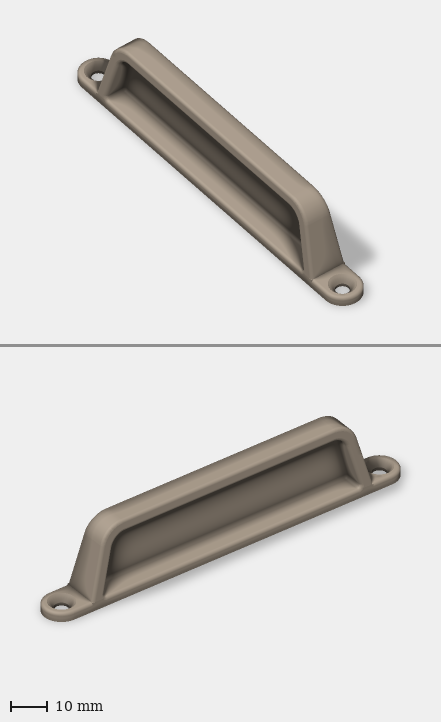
import cadquery as cq
import math

length = 119.6
width = 11.6
height = 24.5

flange_thickness = 2.9
hole_diameter = 4.2
countersink_diameter = 8.0
countersink_angle = 90.0

grip_base_length = 95.5
end_lean = math.radians(15.0)
face_taper = math.radians(5.0)
grip_corner_radius = 7.5

wall_thickness = 3.7
pocket_corner_radius = 5.0
pocket_back_y = 1.2

edge_radius = 1.0

half_width = width / 2
hole_spacing = length - width
grip_height = height - flange_thickness


def grip_outline(inset, corner_radius, depth, front_y):
    """Trapezoid with rounded top corners, extruded back from front_y."""
    top = height - inset
    half_base = grip_base_length / 2 - inset / math.cos(end_lean)
    half_top = half_base - (top - flange_thickness) * math.tan(end_lean)
    return (
        cq.Workplane("XZ", origin=(0, front_y, 0))
        .moveTo(-half_base, flange_thickness)
        .lineTo(half_base, flange_thickness)
        .lineTo(half_top, top)
        .lineTo(-half_top, top)
        .close()
        .extrude(-depth)
        .edges("|Y and >Z")
        .fillet(corner_radius)
    )


def make_flange():
    """Strip with round ends; its top edge is rounded only beyond the grip."""
    ends = (
        cq.Workplane("XY")
        .slot2D(length, width)
        .extrude(flange_thickness)
        .faces(">Z")
        .edges()
        .fillet(edge_radius)
    )
    middle = cq.Workplane("XY").box(
        grip_base_length, width, flange_thickness, centered=(True, True, False)
    )
    return ends.union(middle)


def make_grip():
    half_top_width = half_width - grip_height * math.tan(face_taper)
    tapered_bar = (
        cq.Workplane("YZ", origin=(-length / 2, 0, 0))
        .moveTo(-half_width, flange_thickness)
        .lineTo(half_width, flange_thickness)
        .lineTo(half_top_width, height)
        .lineTo(-half_top_width, height)
        .close()
        .extrude(length)
    )
    grip = grip_outline(0, grip_corner_radius, width, -half_width).intersect(tapered_bar)
    return grip.faces("<Y or >Y").edges("not(<Z)").fillet(edge_radius)


def make_pocket():
    """Cutter reaching past the front, with its lower corners and inner edges rounded."""
    front_y = -width
    depth = pocket_back_y - front_y
    pocket = grip_outline(wall_thickness, pocket_corner_radius, depth, front_y)
    pocket = pocket.edges("|Y").edges("<Z").fillet(edge_radius)
    return pocket.faces(">Y").edges().fillet(edge_radius)


def round_pocket_rim(body):
    """Round the edges where the pocket meets the front of the part."""
    margin = 0.1
    half_rim = grip_base_length / 2 - wall_thickness
    rim_zone = cq.selectors.BoxSelector(
        (-half_rim, -half_width - margin, flange_thickness - margin),
        (half_rim, -half_width / 2, height - wall_thickness + margin),
    )
    return body.edges(rim_zone).edges("not(|Y)").fillet(edge_radius)


body = make_flange().union(make_grip()).cut(make_pocket())
body = round_pocket_rim(body)
result = (
    cq.Workplane("XY", origin=(0, 0, flange_thickness))
    .add(body)
    .pushPoints([(-hole_spacing / 2, 0), (hole_spacing / 2, 0)])
    .cskHole(hole_diameter, countersink_diameter, countersink_angle)
)